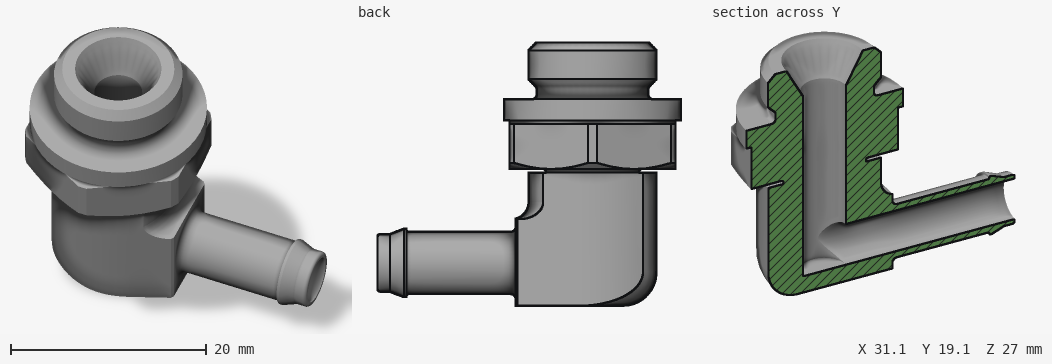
import cadquery as cq
import math

body_height = 13.6
body_half_width = 6.55
bow_radius = 10.22
bow_center = bow_radius - body_half_width
heel_radius = 3.48
end_x = 7.85
end_chamfer = 0.22

step_z = 8.85
step_fillet = 1.7

hex_across_flats = 17.0
hex_corner_diameter = 19.1
hex_bottom_z = 13.98
hex_top_z = 18.58
hex_chamfer_height = 0.62
lower_neck_radius = 4.8
lower_neck_fillet = 0.28

washer_bottom_z = 18.95
washer_top_z = 21.13
washer_diameter = 18.15
thread_diameter = 13.15
undercut_diameter = 11.43
undercut_fillet = 0.45
thread_bottom_z = 23.18
top_z = 26.95
thread_chamfer = 0.85

barb_axis_z = 4.38
pipe_diameter = 6.4
pipe_root_fillet = 0.5
barb_diameter = 7.0
barb_start_x = 19.0
barb_land = 0.28
barb_end_x = 20.72
tip_diameter = 5.9
tip_x = 22.0
tip_fillet = 0.3
barb_root_fillet = 0.15

stud_bore_diameter = 4.9
outlet_bore_diameter = 4.8
cone_diameter = 8.82
cone_depth = 3.6


def cylinder(diameter, bottom_z, top_z):
    """Vertical cylinder on the stud axis."""
    return cq.Workplane("XY").workplane(offset=bottom_z).circle(diameter / 2).extrude(top_z - bottom_z)


def make_body():
    """Block with bowed sides tapering to the outlet, a rounded heel and an upper step."""
    corner = (math.sqrt(2 * bow_radius**2 - bow_center**2) - bow_center) / 2
    taper_x = bow_center
    taper_y = math.sqrt(bow_radius**2 - taper_x**2) - bow_center
    taper_slope = taper_x / (taper_y + bow_center)
    end_y = taper_y - (end_x - taper_x) * taper_slope
    outline = (
        cq.Workplane("XY")
        .moveTo(end_x, -end_y)
        .lineTo(taper_x, -taper_y)
        .threePointArc((0, -body_half_width), (-corner, -corner))
        .threePointArc((-body_half_width, 0), (-corner, corner))
        .threePointArc((0, body_half_width), (taper_x, taper_y))
        .lineTo(end_x, end_y)
        .close()
    )
    body = outline.extrude(body_height).edges("|Z and >X").chamfer(end_chamfer)

    heel = (
        cq.Workplane("XY")
        .center(bow_center, 0)
        .circle(bow_radius)
        .extrude(body_height)
        .faces("<Z")
        .edges()
        .fillet(heel_radius)
    )
    body = body.intersect(heel)

    bend = step_fillet * (1 - math.sqrt(0.5))
    tool_reach = bow_radius + body_half_width
    cutter = (
        cq.Workplane("XZ")
        .moveTo(bow_radius, body_height)
        .lineTo(bow_radius, step_z + step_fillet)
        .threePointArc(
            (bow_radius + bend, step_z + bend),
            (bow_radius + step_fillet, step_z),
        )
        .lineTo(tool_reach, step_z)
        .lineTo(tool_reach, body_height)
        .close()
        .revolve(360, (0, 0, 0), (0, 1, 0))
        .translate((-bow_center, 0, 0))
    )
    outlet_side = cq.Workplane("XY").box(tool_reach, 2 * tool_reach, body_height, centered=(False, True, False))
    return body.cut(cutter.intersect(outlet_side))


def make_hexagon():
    """Hexagon with corners on the Y axis, turned corners and a chamfered lower rim."""
    height = hex_top_z - hex_bottom_z
    corner_distance = hex_across_flats / math.cos(math.pi / 6)
    prism = (
        cq.Workplane("XY")
        .workplane(offset=hex_bottom_z)
        .polygon(6, corner_distance)
        .extrude(height)
        .rotate((0, 0, 0), (0, 0, 1), 30)
    )
    rim_chamfer = (hex_corner_diameter - hex_across_flats) / 2
    turned = (
        cylinder(hex_corner_diameter, hex_bottom_z, hex_top_z)
        .faces("<Z")
        .chamfer(hex_chamfer_height, rim_chamfer)
    )
    return prism.intersect(turned)


def make_stud():
    """Washer, undercut and chamfered thread cylinder, with the necks around the hexagon."""
    thread_radius = thread_diameter / 2
    undercut_radius = undercut_diameter / 2
    bend = undercut_fillet * (1 - math.sqrt(0.5))
    neck_bend = lower_neck_fillet * (1 - math.sqrt(0.5))
    blend_end_z = thread_bottom_z - (thread_radius - undercut_radius - bend)
    undercut_top_z = blend_end_z - undercut_fillet * math.sqrt(0.5)
    blend_mid_run = undercut_fillet * (1 - math.cos(math.pi / 8))
    blend_mid_rise = undercut_fillet * math.sin(math.pi / 8)
    return (
        cq.Workplane("XZ")
        .moveTo(0, body_height)
        .lineTo(lower_neck_radius, body_height)
        .lineTo(lower_neck_radius, hex_bottom_z - lower_neck_fillet)
        .threePointArc(
            (lower_neck_radius + neck_bend, hex_bottom_z - neck_bend),
            (lower_neck_radius + lower_neck_fillet, hex_bottom_z),
        )
        .lineTo(lower_neck_radius + lower_neck_fillet, hex_top_z)
        .lineTo(hex_across_flats / 2, hex_top_z)
        .lineTo(hex_across_flats / 2, washer_bottom_z)
        .lineTo(washer_diameter / 2, washer_bottom_z)
        .lineTo(washer_diameter / 2, washer_top_z)
        .lineTo(undercut_radius + undercut_fillet, washer_top_z)
        .threePointArc(
            (undercut_radius + bend, washer_top_z + bend),
            (undercut_radius, washer_top_z + undercut_fillet),
        )
        .lineTo(undercut_radius, undercut_top_z)
        .threePointArc(
            (undercut_radius + blend_mid_run, undercut_top_z + blend_mid_rise),
            (undercut_radius + bend, blend_end_z),
        )
        .lineTo(thread_radius, thread_bottom_z)
        .lineTo(thread_radius, top_z - thread_chamfer)
        .lineTo(thread_radius - thread_chamfer, top_z)
        .lineTo(0, top_z)
        .close()
        .revolve(360, (0, 0, 0), (0, 1, 0))
    )


def make_barb():
    """Hose barb turned about a horizontal axis along X."""
    pipe_radius = pipe_diameter / 2
    barb_radius = barb_diameter / 2
    tip_radius = tip_diameter / 2
    root_bend = pipe_root_fillet * (1 - math.sqrt(0.5))
    barb_bend = barb_root_fillet * (1 - math.sqrt(0.5))
    tip_bend = tip_fillet * (1 - math.sqrt(0.5))
    return (
        cq.Workplane("XZ")
        .moveTo(bow_center, 0)
        .lineTo(bow_center, pipe_radius + pipe_root_fillet)
        .lineTo(end_x, pipe_radius + pipe_root_fillet)
        .threePointArc(
            (end_x + root_bend, pipe_radius + root_bend),
            (end_x + pipe_root_fillet, pipe_radius),
        )
        .lineTo(barb_start_x - barb_root_fillet, pipe_radius)
        .threePointArc(
            (barb_start_x - barb_bend, pipe_radius + barb_bend),
            (barb_start_x, pipe_radius + barb_root_fillet),
        )
        .lineTo(barb_start_x, barb_radius)
        .lineTo(barb_start_x + barb_land, barb_radius)
        .lineTo(barb_end_x, tip_radius)
        .lineTo(tip_x - tip_fillet, tip_radius)
        .threePointArc((tip_x - tip_bend, tip_radius - tip_bend), (tip_x, tip_radius - tip_fillet))
        .lineTo(tip_x, 0)
        .close()
        .revolve(360, (0, 0, 0), (1, 0, 0))
        .translate((0, 0, barb_axis_z))
    )


def make_passages():
    """Conical seat, stud bore and outlet bore meeting at a right angle."""
    bore_floor_z = barb_axis_z - outlet_bore_diameter / 2
    stud_bore_radius = stud_bore_diameter / 2
    stud_bore = (
        cq.Workplane("XZ")
        .moveTo(0, bore_floor_z)
        .lineTo(stud_bore_radius, bore_floor_z)
        .lineTo(stud_bore_radius, top_z - cone_depth)
        .lineTo(cone_diameter / 2, top_z)
        .lineTo(0, top_z)
        .close()
        .revolve(360, (0, 0, 0), (0, 1, 0))
    )
    outlet_bore = (
        cq.Workplane("YZ")
        .center(0, barb_axis_z)
        .circle(outlet_bore_diameter / 2)
        .extrude(tip_x)
    )
    return stud_bore.union(outlet_bore)


solid = make_body().union(make_stud()).union(make_hexagon()).union(make_barb())
result = solid.cut(make_passages())